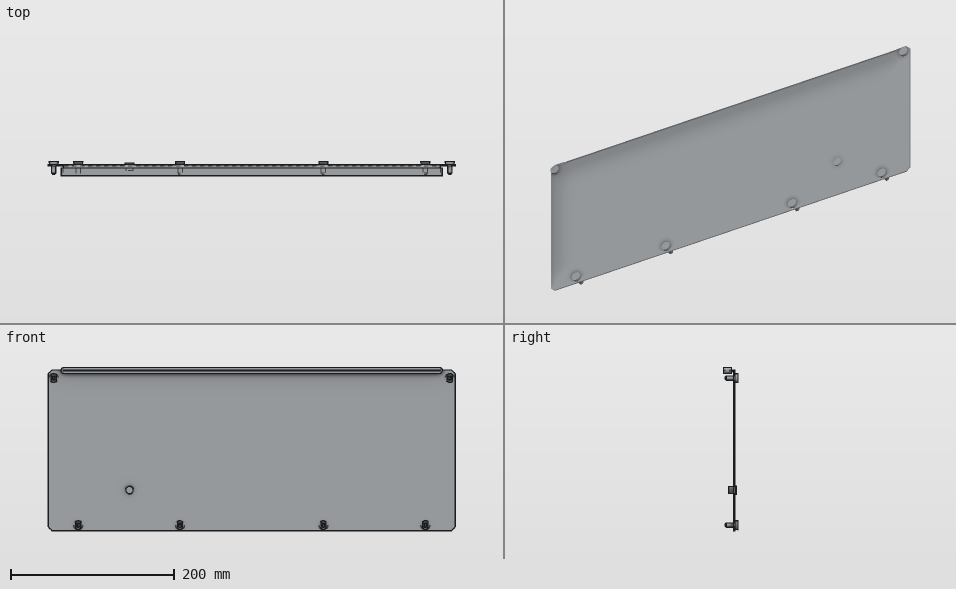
import cadquery as cq

TOTAL_HEIGHT = 199.5
PANEL_LENGTH = 498.0
SHEET = 1.5
CORNER_CHAMFER = 5.0

BEND_RADIUS = 4.0
FLANGE_LENGTH = 461.0
FLANGE_REACH = 14.0

TRIM_HEIGHT = 7.5
TRIM_DEPTH = FLANGE_REACH - BEND_RADIUS
TRIM_LENGTH = 466.0
TRIM_MID_HEIGHT = TOTAL_HEIGHT - TRIM_HEIGHT / 2
PANEL_HEIGHT = TRIM_MID_HEIGHT + SHEET / 2

HEAD_DIAMETER = 11.5
HEAD_NECK_DIAMETER = 10.5
HEAD_HEIGHT = 4.0
SHANK_DIAMETER = 5.5
SHANK_REACH = 12.0
TIP_CHAMFER = 1.5
PANEL_SLOT_WIDTH = 6.5
PANEL_SLOT_HEIGHT = 11.0
UPPER_X = 242.0
UPPER_Z = 186.8
LOWER_OUTER_X = 212.0
LOWER_INNER_X = 87.5
LOWER_Z = 7.0
FASTENER_PLACES = [(x, UPPER_Z) for x in (-UPPER_X, UPPER_X)] + [
    (x, LOWER_Z) for x in (-LOWER_OUTER_X, -LOWER_INNER_X, LOWER_INNER_X, LOWER_OUTER_X)
]

STUD_X = -149.5
STUD_Z = 50.0
STUD_DIAMETER = 9.0
STUD_REACH = 7.5
STUD_FLANGE_DIAMETER = 10.5
STUD_FLANGE_HEIGHT = 2.0


def cylinder(diameter, rear, front):
    """Round bar along Y, from Y = rear forward to Y = front."""
    return cq.Workplane("XZ", origin=(0, rear, 0)).circle(diameter / 2).extrude(rear - front)


def make_flange():
    """Bend and flat flange, swept along X."""
    inner_radius = BEND_RADIUS - SHEET
    bend_bottom = PANEL_HEIGHT - BEND_RADIUS
    return (
        cq.Workplane("YZ", origin=(-FLANGE_LENGTH / 2, 0, 0))
        .moveTo(0, bend_bottom)
        .radiusArc((-BEND_RADIUS, PANEL_HEIGHT), -BEND_RADIUS)
        .lineTo(-FLANGE_REACH, PANEL_HEIGHT)
        .lineTo(-FLANGE_REACH, PANEL_HEIGHT - SHEET)
        .lineTo(-BEND_RADIUS, PANEL_HEIGHT - SHEET)
        .radiusArc((-SHEET, bend_bottom), inner_radius)
        .close()
        .extrude(FLANGE_LENGTH)
    )


def make_panel():
    sheet = (
        cq.Workplane("XY")
        .box(PANEL_LENGTH, SHEET, PANEL_HEIGHT)
        .edges("|Y")
        .chamfer(CORNER_CHAMFER)
        .translate((0, -SHEET / 2, PANEL_HEIGHT / 2))
    )
    bend_room = cq.Workplane("XY").box(FLANGE_LENGTH, 2 * SHEET, 2 * BEND_RADIUS)
    sheet = sheet.cut(bend_room.translate((0, -SHEET / 2, PANEL_HEIGHT)))
    slots = (
        cq.Workplane("XZ")
        .pushPoints(FASTENER_PLACES)
        .slot2D(PANEL_SLOT_HEIGHT, PANEL_SLOT_WIDTH, 90)
        .extrude(SHEET)
    )
    stud_hole = cylinder(STUD_DIAMETER, 0, -SHEET).translate((STUD_X, 0, STUD_Z))
    return sheet.union(make_flange()).cut(slots).cut(stud_hole)


def make_trim():
    bar = (
        cq.Workplane("XZ", origin=(0, -BEND_RADIUS, TRIM_MID_HEIGHT))
        .slot2D(TRIM_LENGTH, TRIM_HEIGHT)
        .extrude(TRIM_DEPTH)
    )
    return bar.cut(make_flange())


def make_fastener(x, z):
    head = (
        cq.Workplane("XZ", origin=(0, HEAD_HEIGHT, 0))
        .circle(HEAD_DIAMETER / 2)
        .workplane(offset=HEAD_HEIGHT)
        .circle(HEAD_NECK_DIAMETER / 2)
        .loft()
    )
    shank = cylinder(SHANK_DIAMETER, 0, -SHANK_REACH).faces("<Y").chamfer(TIP_CHAMFER)
    return head.union(shank).translate((x, 0, z))


def make_stud():
    boss = cylinder(STUD_DIAMETER, 0, -STUD_REACH)
    flange = cylinder(STUD_FLANGE_DIAMETER, STUD_FLANGE_HEIGHT, 0)
    return boss.union(flange).translate((STUD_X, 0, STUD_Z))


panel = make_panel()
trim = make_trim()
stud = make_stud()
fasteners = [make_fastener(x, z) for x, z in FASTENER_PLACES]
result = cq.Compound.makeCompound(
    [panel.val(), trim.val(), stud.val(), *[fastener.val() for fastener in fasteners]]
)